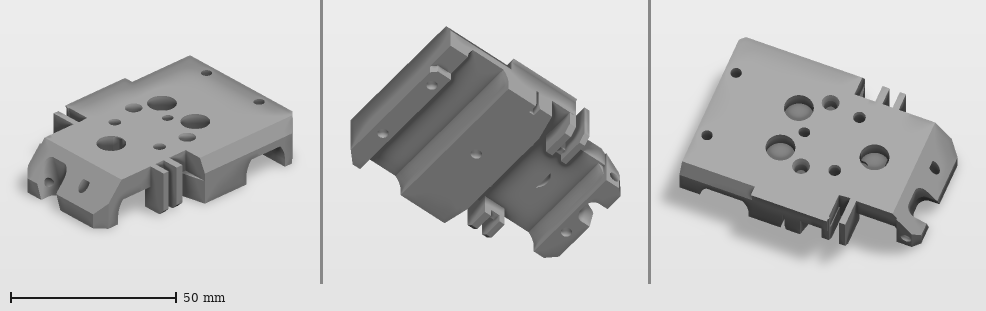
import cadquery as cq
import math


LENGTH = 74.5
HEIGHT = 15.05
CEILING = 7.9
LEFT = -25.25
RIGHT = 26.75
NOSE_LEFT = -16.25
NOSE_RIGHT = 18.2
LEFT_SHOULDER = 26.15
RIGHT_SHOULDER = 34.95
BACK_CORNER = 3.9
NOSE_CORNER = 3.3
MARGIN = 0.75

BEVEL_WIDTH = 2.2
BEVEL_HEIGHT = 4.55
LIP_WIDTH = 1.0
LIP_END = 50.8

SLOPE_LENGTH = 8.65
NOSE_FRONT_HEIGHT = 4.9
FOOT_DEPTH = 7.2
FOOT_LEFT = -16.75
FOOT_CORNER = 2.2

ARCH_DIAMETER = 15.8
ARCH_AXIS_Z = 2.6
REAR_ARCH_Y = 59.9
FRONT_ARCH_Y = FOOT_DEPTH + ARCH_DIAMETER / 2
MIDDLE_FRONT = 32.9
MIDDLE_SLANT = 2.2
SKIRT_INSET = 0.75

REAR_FOOT_HEIGHT = 3.0
REAR_FOOT_INSET = 8.3
REAR_FOOT_CORNER = 1.8

SLIT_Y = 40.7
SLIT_WIDTH = 0.9
SLIT_MOUTH_WIDTH = 1.8
SLIT_FLARE = 2.0
SLIT_DEPTH = 3.0

FRONT_FIN = (20.5, 22.5)
REAR_FIN = (25.85, 28.15)
FIN_LEFT = -25.2
FIN_RIGHT = 24.1
FIN_OVERLAP = 2.45
LEFT_FIN_CHAMFER = 2.4
RIGHT_FIN_CHAMFER = 1.9
WEB_BOTTOM = 3.0
WEB_RELIEF = 0.3
RIB_TOP_WIDTH = 0.75
RIB_BOTTOM_WIDTH = 1.4

POCKET_DIAMETER = 9.0
POCKET_DEPTH = 5.0
REAR_POCKET_X = 7.45
REAR_POCKET_Y = 48.7
FRONT_POCKET_Y = 21.1
POCKET_OPENING_EDGE = 18.2

GROOVE_X = -1.4
GROOVE_Y = 24.4
GROOVE_WIDTH = 3.1
GROOVE_END = 27.2
GROOVE_BOTTOM = 8.95
GROOVE_ROOF = 0.4

BACK_HOLE_DIAMETER = 3.4
BACK_HOLE_X = 11.8
BACK_HOLE_Y = 70.9
CENTER_SLOT_X = 0.2
CENTER_SLOT_Y = 44.0
CENTER_SLOT_WIDTH = 3.3
CENTER_SLOT_LENGTH = 3.6
INSERT_CENTERS = [(-11.2, 40.5), (12.75, 40.5)]
INSERT_MOUTH = 5.4
INSERT_NECK = 3.9
INSERT_TIP = 3.1
INSERT_NECK_DEPTH = 2.15
INSERT_DEPTH = 5.0
SCREW_CENTERS = [(-8.7, 30.55), (11.25, 30.55)]
SCREW_MOUTH = 3.9
SCREW_DIAMETER = 3.4
SCREW_TAPER_DEPTH = 1.2
NOSE_HOLE_DIAMETER = 3.4
NOSE_HOLE_X = 6.25
NOSE_HOLE_Y = 4.2
NOSE_HOLE_ROOF = 11.0

CHANNEL_DIAMETER = 6.0
CHANNEL_TILT = 20
CHANNEL_AXIS_Y = 3.05
SLANT_LEFT_X = -5.15
SLANT_RIGHT_X = -3.0
UPRIGHT_X = -4.8
CROSS_HOLE_MOUTH = 3.4
CROSS_HOLE_DIAMETER = 2.75
CROSS_HOLE_TAPER_DEPTH = 1.2
CROSS_HOLE_Y = 4.1
CROSS_HOLE_Z = 4.0


def box(x0, x1, y0, y1, z0, z1):
    return cq.Workplane("XY").box(x1 - x0, y1 - y0, z1 - z0, centered=False).translate((x0, y0, z0))


def plan_prism(points, z0, z1):
    return cq.Workplane("XY").workplane(offset=z0).polyline(points).close().extrude(z1 - z0)


def front_prism(points, y0, y1):
    """Extrude an XZ outline from y0 back to y1."""
    return cq.Workplane("XZ").workplane(offset=-y1).polyline(points).close().extrude(y1 - y0)


def side_prism(points, x0, x1):
    """Extrude a YZ outline from x0 to x1."""
    return cq.Workplane("YZ").workplane(offset=x0).polyline(points).close().extrude(x1 - x0)


def cylinder(diameter, x, y, z0, z1):
    return cq.Workplane("XY").workplane(offset=z0).center(x, y).circle(diameter / 2).extrude(z1 - z0)


def cone(top_diameter, bottom_diameter, x, y, z_top, depth):
    solid = cq.Solid.makeCone(bottom_diameter / 2, top_diameter / 2, depth, cq.Vector(x, y, z_top - depth))
    return cq.Workplane(solid)


def main_body():
    outline = [
        (FOOT_LEFT + FOOT_CORNER, 0),
        (NOSE_RIGHT - NOSE_CORNER, 0),
        (NOSE_RIGHT, NOSE_CORNER),
        (NOSE_RIGHT, RIGHT_SHOULDER),
        (RIGHT, RIGHT_SHOULDER),
        (RIGHT, LENGTH - BACK_CORNER),
        (RIGHT - BACK_CORNER, LENGTH),
        (LEFT, LENGTH),
        (LEFT, LEFT_SHOULDER),
        (NOSE_LEFT, LEFT_SHOULDER),
        (NOSE_LEFT, FOOT_DEPTH),
        (FOOT_LEFT, FOOT_DEPTH),
        (FOOT_LEFT, FOOT_CORNER),
    ]
    return plan_prism(outline, 0, HEIGHT)


def arch(axis_y):
    round_part = cq.Workplane("YZ").workplane(offset=LEFT - MARGIN).center(axis_y, ARCH_AXIS_Z)
    round_part = round_part.circle(ARCH_DIAMETER / 2).extrude(RIGHT - LEFT + 2 * MARGIN)
    radius = ARCH_DIAMETER / 2
    legs = box(LEFT - MARGIN, RIGHT + MARGIN, axis_y - radius, axis_y + radius, -MARGIN, ARCH_AXIS_Z)
    below_ceiling = box(LEFT - MARGIN, RIGHT + MARGIN, 0, LENGTH, -MARGIN, CEILING)
    return round_part.union(legs).intersect(below_ceiling)


def underside_cuts():
    middle_gap = plan_prism(
        [
            (LEFT, FRONT_ARCH_Y),
            (NOSE_RIGHT, FRONT_ARCH_Y),
            (NOSE_RIGHT, MIDDLE_FRONT),
            (NOSE_LEFT, MIDDLE_FRONT),
            (LEFT, MIDDLE_FRONT + MIDDLE_SLANT),
        ],
        -MARGIN,
        CEILING,
    )
    return arch(REAR_ARCH_Y).union(arch(FRONT_ARCH_Y)).union(middle_gap)


def nose_skirt_relief():
    return box(NOSE_LEFT, NOSE_LEFT + SKIRT_INSET, FOOT_DEPTH, FRONT_ARCH_Y, 0, CEILING)


def right_wedge():
    outline = [(NOSE_RIGHT, MIDDLE_FRONT), (RIGHT, RIGHT_SHOULDER), (NOSE_RIGHT, RIGHT_SHOULDER)]
    return plan_prism(outline, 0, CEILING)


def nose_slope():
    outline = [(0, NOSE_FRONT_HEIGHT), (SLOPE_LENGTH, HEIGHT), (0, HEIGHT)]
    return side_prism(outline, FOOT_LEFT, NOSE_RIGHT)


def side_bevels():
    z = HEIGHT - BEVEL_HEIGHT
    left = front_prism([(LEFT, z), (LEFT, HEIGHT), (LEFT + BEVEL_WIDTH, HEIGHT)], LIP_END, LENGTH)
    right = front_prism([(RIGHT, z), (RIGHT, HEIGHT), (RIGHT - BEVEL_WIDTH, HEIGHT)], RIGHT_SHOULDER, LENGTH)
    return left.union(right)


def lip():
    outline = [(LEFT, HEIGHT - LIP_WIDTH), (LEFT, HEIGHT), (LEFT - LIP_WIDTH, HEIGHT)]
    return front_prism(outline, LEFT_SHOULDER, LIP_END)


def rear_foot_cut():
    inner = LEFT + REAR_FOOT_INSET
    front = REAR_ARCH_Y
    outline = [
        (LEFT, front),
        (inner, front),
        (inner, LENGTH - REAR_FOOT_CORNER),
        (inner + REAR_FOOT_CORNER, LENGTH),
        (LEFT, LENGTH),
    ]
    return plan_prism(outline, 0, REAR_FOOT_HEIGHT)


def slit():
    half, mouth = SLIT_WIDTH / 2, SLIT_MOUTH_WIDTH / 2
    outline = [
        (SLIT_Y - mouth, 0),
        (SLIT_Y - half, SLIT_FLARE),
        (SLIT_Y - half, CEILING),
        (SLIT_Y + half, CEILING),
        (SLIT_Y + half, SLIT_FLARE),
        (SLIT_Y + mouth, 0),
    ]
    return side_prism(outline, LEFT, LEFT + SLIT_DEPTH)


def fin(outer, inner, chamfer, y_range, top):
    """Upright plate with its lower outer corner cut off."""
    inward = math.copysign(chamfer, inner - outer)
    outline = [(outer, chamfer), (outer, top), (inner, top), (inner, 0), (outer + inward, 0)]
    return front_prism(outline, *y_range)


def fins():
    left_inner = NOSE_LEFT + FIN_OVERLAP
    right_inner = NOSE_RIGHT - FIN_OVERLAP
    plates = fin(FIN_LEFT, left_inner, LEFT_FIN_CHAMFER, FRONT_FIN, HEIGHT)
    plates = plates.union(fin(FIN_LEFT, left_inner, LEFT_FIN_CHAMFER, REAR_FIN, CEILING))
    for y_range in (FRONT_FIN, REAR_FIN):
        plates = plates.union(fin(FIN_RIGHT, right_inner, RIGHT_FIN_CHAMFER, y_range, HEIGHT))
    for x0, x1 in ((NOSE_LEFT, left_inner), (right_inner, NOSE_RIGHT)):
        plates = plates.union(box(x0, x1, FRONT_FIN[0], REAR_FIN[1], WEB_BOTTOM, HEIGHT))
    return plates


def left_rib():
    outline = [
        (FIN_LEFT, CEILING),
        (FIN_LEFT, HEIGHT),
        (FIN_LEFT + RIB_TOP_WIDTH, HEIGHT),
        (FIN_LEFT + RIB_BOTTOM_WIDTH, CEILING),
    ]
    return front_prism(outline, REAR_FIN[0], REAR_FIN[1])


def web_relief():
    outline = [(NOSE_LEFT, REAR_FIN[0]), (NOSE_LEFT, FRONT_FIN[1]), (NOSE_LEFT + WEB_RELIEF, FRONT_FIN[1])]
    return plan_prism(outline, 0, HEIGHT)


def magnet_pockets():
    floor = HEIGHT - POCKET_DEPTH
    front_pocket = cylinder(POCKET_DIAMETER, 0, FRONT_POCKET_Y, floor, HEIGHT)
    opening = cylinder(POCKET_DIAMETER, 0, FRONT_POCKET_Y, 0, HEIGHT)
    radius = POCKET_DIAMETER / 2
    opening = opening.intersect(box(-radius, radius, 0, POCKET_OPENING_EDGE, 0, HEIGHT))
    pockets = front_pocket.union(opening)
    for x in (-REAR_POCKET_X, REAR_POCKET_X):
        pockets = pockets.union(cylinder(POCKET_DIAMETER, x, REAR_POCKET_Y, floor, HEIGHT))
    return pockets


def pocket_groove():
    top = HEIGHT - GROOVE_ROOF
    half = GROOVE_WIDTH / 2
    end = cylinder(GROOVE_WIDTH, GROOVE_X, GROOVE_Y, GROOVE_BOTTOM, top)
    return end.union(box(GROOVE_X - half, GROOVE_X + half, GROOVE_Y, GROOVE_END, GROOVE_BOTTOM, top))


def vertical_holes():
    holes = cq.Workplane("XY").center(CENTER_SLOT_X, CENTER_SLOT_Y)
    holes = holes.slot2D(CENTER_SLOT_LENGTH, CENTER_SLOT_WIDTH, 90).extrude(HEIGHT)
    for x in (-BACK_HOLE_X, BACK_HOLE_X):
        holes = holes.union(cylinder(BACK_HOLE_DIAMETER, x, BACK_HOLE_Y, 0, HEIGHT))
    for x, y in INSERT_CENTERS:
        neck_z = HEIGHT - INSERT_NECK_DEPTH
        holes = holes.union(cone(INSERT_MOUTH, INSERT_NECK, x, y, HEIGHT, INSERT_NECK_DEPTH))
        holes = holes.union(cone(INSERT_NECK, INSERT_TIP, x, y, neck_z, INSERT_DEPTH - INSERT_NECK_DEPTH))
    for x, y in SCREW_CENTERS:
        holes = holes.union(cylinder(SCREW_DIAMETER, x, y, 0, HEIGHT))
        holes = holes.union(cone(SCREW_MOUTH, SCREW_DIAMETER, x, y, HEIGHT, SCREW_TAPER_DEPTH))
    return holes


def nose_hole():
    return cylinder(NOSE_HOLE_DIAMETER, NOSE_HOLE_X, NOSE_HOLE_Y, 0, NOSE_HOLE_ROOF)


def nose_channel():
    """Slanted slot widened by an upright bore, both open toward the nose tip."""
    radius = CHANNEL_DIAMETER / 2
    tilt = math.radians(CHANNEL_TILT)
    reach = 2 * HEIGHT
    tilted = cq.Plane(
        origin=((SLANT_LEFT_X + SLANT_RIGHT_X) / 2, CHANNEL_AXIS_Y, 0),
        xDir=(math.cos(tilt), 0, math.sin(tilt)),
        normal=(-math.sin(tilt), 0, math.cos(tilt)),
    )
    spacing = (SLANT_RIGHT_X - SLANT_LEFT_X) * math.cos(tilt)
    width = spacing + CHANNEL_DIAMETER
    front = CHANNEL_AXIS_Y + MARGIN
    slanted = cq.Workplane(tilted).slot2D(width, CHANNEL_DIAMETER).extrude(reach, both=True)
    slanted_mouth = cq.Workplane(tilted).center(0, -front / 2).rect(width, front).extrude(reach, both=True)
    upright = cylinder(CHANNEL_DIAMETER, UPRIGHT_X, CHANNEL_AXIS_Y, 0, HEIGHT)
    upright_mouth = box(UPRIGHT_X - radius, UPRIGHT_X + radius, -MARGIN, CHANNEL_AXIS_Y, 0, HEIGHT)
    bend_z = (SLANT_RIGHT_X - UPRIGHT_X) / math.tan(tilt)
    filling = front_prism(
        [
            (UPRIGHT_X, bend_z),
            (UPRIGHT_X, HEIGHT),
            (SLANT_RIGHT_X - HEIGHT * math.tan(tilt), HEIGHT),
        ],
        -MARGIN,
        CHANNEL_AXIS_Y + radius,
    )
    return slanted.union(slanted_mouth).union(upright).union(upright_mouth).union(filling)


def cross_hole():
    hole = cq.Workplane("YZ").workplane(offset=FOOT_LEFT).center(CROSS_HOLE_Y, CROSS_HOLE_Z)
    hole = hole.circle(CROSS_HOLE_DIAMETER / 2).extrude(SLANT_LEFT_X - FOOT_LEFT)
    mouth = cq.Solid.makeCone(
        CROSS_HOLE_MOUTH / 2,
        CROSS_HOLE_DIAMETER / 2,
        CROSS_HOLE_TAPER_DEPTH,
        cq.Vector(FOOT_LEFT, CROSS_HOLE_Y, CROSS_HOLE_Z),
        cq.Vector(1, 0, 0),
    )
    return hole.union(cq.Workplane(mouth))


result = main_body().cut(underside_cuts())
for addition in (right_wedge(), lip(), fins(), left_rib()):
    result = result.union(addition)
for removal in (
    nose_slope(),
    side_bevels(),
    rear_foot_cut(),
    slit(),
    web_relief(),
    nose_skirt_relief(),
    magnet_pockets(),
    pocket_groove(),
    vertical_holes(),
    nose_hole(),
    nose_channel(),
    cross_hole(),
):
    result = result.cut(removal)